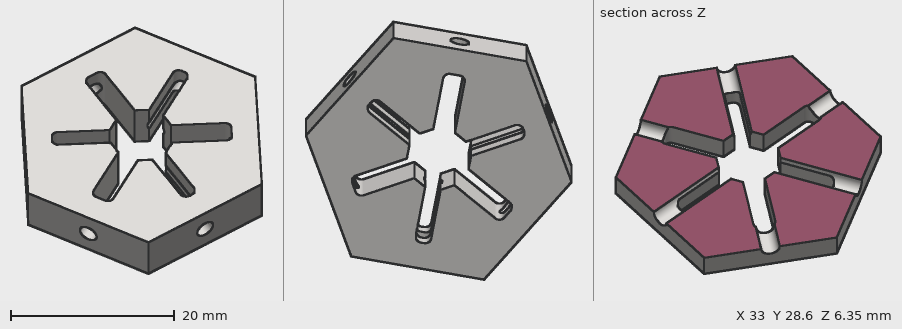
import cadquery as cq
import math

across_corners = 33.0
thickness = 6.35
across_flats = across_corners * math.cos(math.radians(30))

opening_across_flats = 7.65
opening_across_corners = opening_across_flats / math.cos(math.radians(30))

slot_reach = 11.0
narrow_slot_width = 1.9
wide_slot_width = 2.67
slot_corner_radius = 0.75
slot_count = 6
slot_pitch = 360 / slot_count
narrow_start_angle = 90.0

hole_diameter = 2.28


def radial_slot(width, angle):
    """Slot from the plate centre outward, with rounded outer corners."""
    return (
        cq.Workplane("XY")
        .box(slot_reach, width, thickness, centered=(False, True, True))
        .edges("|Z and >X")
        .fillet(slot_corner_radius)
        .rotate((0, 0, 0), (0, 0, 1), angle)
    )


def radial_hole(angle):
    """Mid-height hole from the plate centre out through one side."""
    return (
        cq.Workplane("YZ")
        .circle(hole_diameter / 2)
        .extrude(across_flats / 2)
        .rotate((0, 0, 0), (0, 0, 1), angle)
    )


def hexagon_prism(corner_diameter):
    """Plate-thick hexagonal prism with corners on the X axis."""
    return (
        cq.Workplane("XY")
        .polygon(6, corner_diameter)
        .extrude(thickness / 2, both=True)
    )


plate = hexagon_prism(across_corners)
opening = hexagon_prism(opening_across_corners).rotate((0, 0, 0), (0, 0, 1), 30)
result = plate.cut(opening)

for index in range(slot_count):
    angle = narrow_start_angle + index * slot_pitch
    slot_width = narrow_slot_width if index % 2 == 0 else wide_slot_width
    result = result.cut(radial_slot(slot_width, angle))
    result = result.cut(radial_hole(angle))